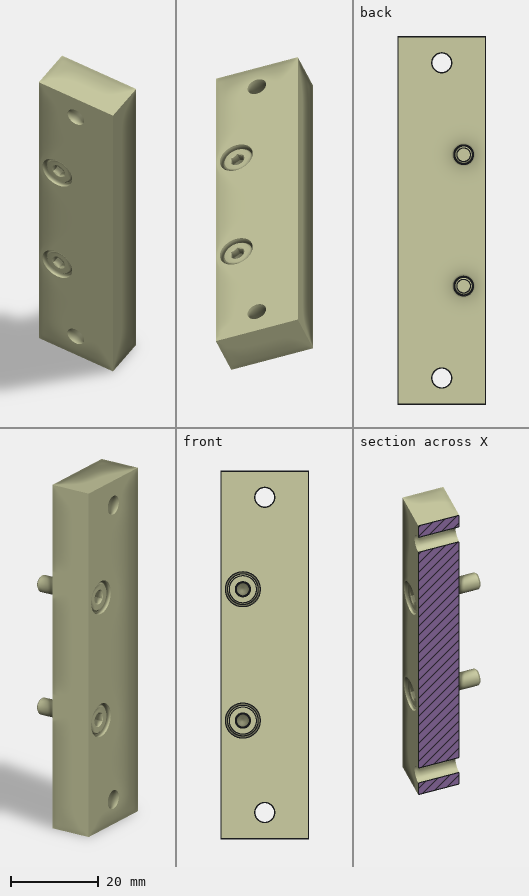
import cadquery as cq
import math

plate_width = 20.0
plate_thickness = 10.0
plate_height = 84.0

mounting_hole_diameter = 4.5
mounting_hole_edge_distance = 6.0
mounting_hole_z = plate_height / 2 - mounting_hole_edge_distance

thread_diameter = 4.0
screw_length = 12.0
tip_chamfer = 0.45
head_diameter = 7.0
head_height = 4.0
head_rim_chamfer = 0.4
socket_across_flats = 3.0
socket_depth = 2.0
socket_point_angle = 120.0
socket_mouth_angle = 90.0

screw_pitch = 30.0
screw_edge_distance = 5.0
screw_x = -plate_width / 2 + screw_edge_distance
screw_z_positions = (-screw_pitch / 2, screw_pitch / 2)
clearance_diameter = 4.5
counterbore_diameter = 8.0
tip_projection = 6.6
counterbore_depth = plate_thickness + tip_projection - screw_length
head_recess = counterbore_depth - head_height


def cylinder_along_y(diameter, length, x, y, z):
    """Cylinder that starts at (x, y, z) and runs toward +Y."""
    start = cq.Vector(x, y, z)
    return cq.Workplane(cq.Solid.makeCylinder(diameter / 2, length, start, cq.Vector(0, 1, 0)))


def make_plate():
    """Flat bar with two plain end holes and two counterbored screw holes."""
    plate = cq.Workplane("XY").box(
        plate_width, plate_thickness, plate_height, centered=(True, False, True)
    )
    for z in (-mounting_hole_z, mounting_hole_z):
        plate = plate.cut(cylinder_along_y(mounting_hole_diameter, plate_thickness, 0, 0, z))
    for z in screw_z_positions:
        plate = plate.cut(cylinder_along_y(clearance_diameter, plate_thickness, screw_x, 0, z))
        plate = plate.cut(cylinder_along_y(counterbore_diameter, counterbore_depth, screw_x, 0, z))
    return plate


def make_socket():
    """Hexagonal socket, corners up and down, with a drill point and a countersunk mouth."""
    flat_radius = socket_across_flats / 2
    corner_radius = flat_radius / math.cos(math.pi / 6)
    point_depth = flat_radius / math.tan(math.radians(socket_point_angle / 2))
    mouth_depth = corner_radius / math.tan(math.radians(socket_mouth_angle / 2))
    toward_back = cq.Vector(0, 1, 0)
    floor_center = cq.Vector(0, socket_depth, 0)

    hexagon = (
        cq.Workplane("XZ")
        .transformed(rotate=(0, 0, 90))
        .polygon(6, 2 * corner_radius)
        .extrude(-socket_depth)
    )
    drill_point = cq.Solid.makeCone(flat_radius, 0, point_depth, floor_center, toward_back)
    mouth = cq.Solid.makeCone(corner_radius, 0, mouth_depth, cq.Vector(0, 0, 0), toward_back)
    return hexagon.union(cq.Workplane(drill_point)).union(cq.Workplane(mouth))


def make_screw(z):
    """Cap screw with its head seated on the counterbore floor."""
    head = cylinder_along_y(head_diameter, head_height, 0, 0, 0)
    head = head.faces("<Y").edges().chamfer(head_rim_chamfer)
    shank = cylinder_along_y(thread_diameter, screw_length, 0, head_height, 0)
    shank = shank.faces(">Y").edges().chamfer(tip_chamfer)
    screw = head.union(shank).cut(make_socket())
    return screw.translate((screw_x, head_recess, z))


plate = make_plate()
screws = [make_screw(z) for z in screw_z_positions]

result = cq.Compound.makeCompound([plate.val(), *[screw.val() for screw in screws]])